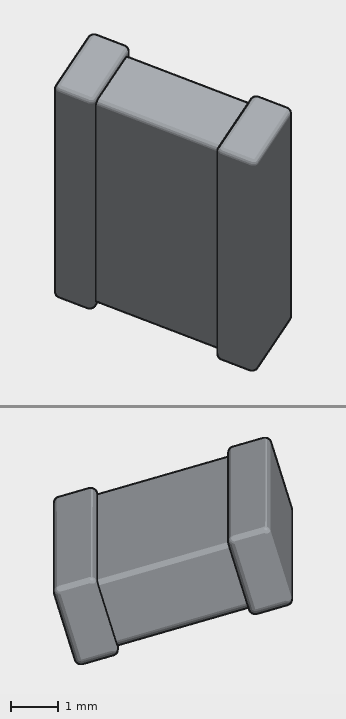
import cadquery as cq

LENGTH_X = 4.8
DEPTH_Y = 1.8
HEIGHT_Z = 6.8

EDGE_RADIUS = 0.14
CAP_WIDTH = 0.95
BODY_INSET = EDGE_RADIUS

BODY_LENGTH = LENGTH_X - 2 * CAP_WIDTH
BODY_DEPTH = DEPTH_Y - 2 * BODY_INSET
BODY_HEIGHT = HEIGHT_Z - 2 * BODY_INSET
CAP_CENTER_X = (LENGTH_X - CAP_WIDTH) / 2


def make_body():
    """Plain block between the caps, rounded along its four X edges."""
    return cq.Workplane("XY").box(BODY_LENGTH, BODY_DEPTH, BODY_HEIGHT).edges("|X").fillet(EDGE_RADIUS)


def make_end_cap(center_x):
    """Block terminal with every edge rounded, its inner face against the body."""
    cap = cq.Workplane("XY").box(CAP_WIDTH, DEPTH_Y, HEIGHT_Z).edges().fillet(EDGE_RADIUS)
    return cap.translate((center_x, 0, 0))


body = make_body()

end_caps = []
for side in (-1, 1):
    end_caps.append(make_end_cap(side * CAP_CENTER_X))

result = cq.Compound.makeCompound([body.val(), *[cap.val() for cap in end_caps]])